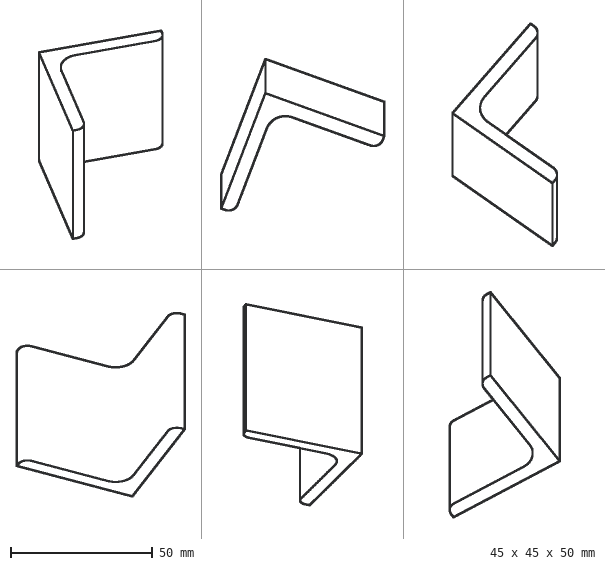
import cadquery as cq

leg_length = 45.0
thickness = 5.0
height = 50.0
root_radius = 7.0
toe_radius = root_radius / 2

section = [
    (0, 0),
    (leg_length, 0),
    (leg_length, thickness),
    (thickness, thickness),
    (thickness, leg_length),
    (0, leg_length),
]
angle = cq.Workplane("XY").polyline(section).close().extrude(height)


def round_edge(body, x, y, radius):
    """Round the vertical edge of the body that passes through (x, y)."""
    edge = cq.selectors.NearestToPointSelector((x, y, height / 2))
    return body.edges("|Z").edges(edge).fillet(radius)


angle = round_edge(angle, thickness, thickness, root_radius)
angle = round_edge(angle, leg_length, thickness, toe_radius)
angle = round_edge(angle, thickness, leg_length, toe_radius)

result = angle